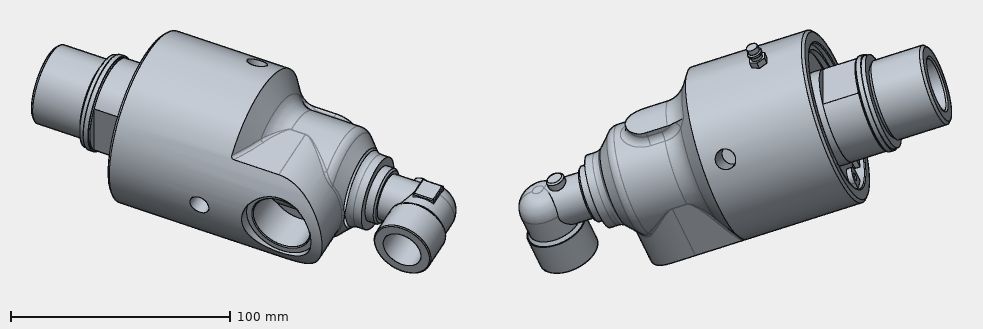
import cadquery as cq
import math


TOTAL_LENGTH = 205.74
THREAD_END = 25.0
COLLAR_START = 26.5
BEAD_START = 28.5
BEAD_END = 30.9
FLATS_START = 31.6
BODY_START = 49.1
BODY_END = 107.1
SHOULDER_START = 150.5
REAR_COLLAR_END = 166.0
NUT_END = 171.0

THREAD_RADIUS = 38.05 / 2
THREAD_CHAMFER = 1.25
SHAFT_RADIUS = 44.65 / 2
FLATTED_RADIUS = 44.4 / 2
BEAD_RADIUS = 46.0 / 2
ACROSS_FLATS = 35.6
SHAFT_BORE_RADIUS = 25.0 / 2
SHAFT_BORE_DEPTH = 50.0
SHAFT_BORE_CHAMFER = 0.8

BODY_RADIUS = 82.6 / 2
BODY_CHAMFER = 1.25
NECK_RADIUS = 26.5
CONE_ANGLE = 53.5
CONE_FOOT_FILLET = 12.0
SHOULDER_FILLET = 6.0
REAR_COLLAR_RADIUS = 34.9 / 2
NUT_RADIUS = 26.8 / 2
NUT_CHAMFER = 0.9

RECESS_RADIUS = 34.9
RECESS_DEPTH = 6.0
RECESS_CHAMFER = 0.5
RING_SETBACK = 2.5
RING_THICKNESS = 2.5
RING_INNER_RADIUS = 33.6
RING_ECCENTRICITY = 1.6
EAR_RADIUS = 4.6
EAR_Y = -28.65
EAR_Z = 9.7
EAR_HOLE_DIAMETER = 3.5

ARM_CENTRE_X = 131.2
ARM_HALF_WIDTH = 26.3
ARM_ROOT_FILLET = 2.0
PORT_X = 134.4
PORT_DIAMETER = 28.57
PORT_RIM_DIAMETER = 34.9
PORT_RIM_FLOOR = 36.0
PORT_CHAMFER = 0.5
TUBE_RADIUS = 38.05 / 2
TUBE_BARED_WIDTH = 18.25
REAR_BOSS_RADIUS = 9.5
REAR_BOSS_TOP = 31.2
REAR_BOSS_ROOT_FILLET = 4.2

RADIAL_HOLE_X = 95.7
RADIAL_HOLE_DIAMETER = 9.5
RADIAL_HOLE_DEPTH = 17.0
RADIAL_HOLE_COUNT = 3
OVERALL_WIDTH = 92.01
NIPPLE_X = 70.9
NIPPLE_TIP = OVERALL_WIDTH - BODY_RADIUS
NIPPLE_SEAT_DEPTH = 0.5
NIPPLE_HEX_FLATS = 7.4
NIPPLE_HEX_TOP = 44.3
NIPPLE_NECK_RADIUS = 5.36 / 2
NIPPLE_RIM_RADIUS = 6.8 / 2
NIPPLE_RIM_START = 45.9
NIPPLE_RIM_END = 48.1
NIPPLE_RIM_SLOPE = 0.6

SOCKET_RADIUS = 28.57 / 2
ELBOW_X = TOTAL_LENGTH - SOCKET_RADIUS
PIPE_RADIUS = 22.0 / 2
LEG_RADIUS = 25.0 / 2
LEG_BOTTOM = -9.8
BEND_FILLET = 9.8
SOCKET_TOP = -11.5
SOCKET_FACE = -27.9
SOCKET_CHAMFER = 0.5
SOCKET_BORE_DIAMETER = 19.0
ELBOW_BORE_DIAMETER = 11.0
ELBOW_BORE_END = 193.2
PLUG_X = 182.0
PLUG_DIAMETER = 8.6
PLUG_TOP = 14.4
PLUG_CHAMFER = 0.8
PAD_SIZE = 10.5
PAD_TOP = 13.5
PAD_CHAMFER = 0.5

FLARE_RADIUS = 62.0
BAR_REACH = 50.0
BAR_START = 93.0

SELECT_MARGIN = 0.5


def turned(profile):
    """Revolve an (x, radius) outline about the rotation axis."""
    return cq.Workplane("XY").polyline(profile).close().revolve(360, (0, 0, 0), (1, 0, 0))


def turned_on_y(profile, x):
    """Revolve a (radius, y) outline about the Y direction at the given x."""
    outline = cq.Workplane("XY").polyline([(x + radius, y) for radius, y in profile])
    return outline.close().revolve(360, (x, 0, 0), (x, 1, 0))


def cylinder_x(radius, start, end):
    return cq.Workplane("YZ", origin=(start, 0, 0)).circle(radius).extrude(end - start)


def cylinder_y(radius, x, start, end):
    """Cylinder along Y between two Y stations."""
    return cq.Workplane("XZ", origin=(x, start, 0)).circle(radius).extrude(start - end)


def rounded_corner(before, corner, after, radius):
    """Start, middle and end of the arc that rounds the corner of an (x, radius) outline."""
    to_before = (cq.Vector(*before) - cq.Vector(*corner)).normalized()
    to_after = (cq.Vector(*after) - cq.Vector(*corner)).normalized()
    half_angle = to_before.getAngle(to_after) / 2
    tangent_length = radius / math.tan(half_angle)
    middle_distance = radius / math.sin(half_angle) - radius
    vertex = cq.Vector(*corner)
    start = vertex + to_before * tangent_length
    middle = vertex + (to_before + to_after).normalized() * middle_distance
    end = vertex + to_after * tangent_length
    return [(point.x, point.y) for point in (start, middle, end)]


def make_shaft():
    thread_drop = COLLAR_START - THREAD_END
    shaft = turned([
        (0, 0),
        (0, THREAD_RADIUS - THREAD_CHAMFER),
        (THREAD_CHAMFER, THREAD_RADIUS),
        (THREAD_END, THREAD_RADIUS),
        (COLLAR_START, THREAD_RADIUS - thread_drop),
        (COLLAR_START, SHAFT_RADIUS),
        (BEAD_START, SHAFT_RADIUS),
        (BEAD_START, BEAD_RADIUS),
        (BEAD_END, BEAD_RADIUS),
        (BEAD_END, SHAFT_RADIUS),
        (FLATS_START, SHAFT_RADIUS),
        (FLATS_START, FLATTED_RADIUS),
        (BODY_START, FLATTED_RADIUS),
        (BODY_START, SHAFT_RADIUS),
        (BODY_START + RECESS_DEPTH, SHAFT_RADIUS),
        (BODY_START + RECESS_DEPTH, 0),
    ])
    cutter_depth = SHAFT_RADIUS
    flat_length = BODY_START - FLATS_START
    for side in (-1, 1):
        cutter = cq.Workplane("XY")
        cutter = cutter.box(flat_length, cutter_depth, 2 * SHAFT_RADIUS, centered=(False, True, True))
        shaft = shaft.cut(cutter.translate((FLATS_START, side * (ACROSS_FLATS + cutter_depth) / 2, 0)))
    return shaft


def cut_shaft_bore(part):
    mouth_radius = SHAFT_BORE_RADIUS + SHAFT_BORE_CHAMFER
    bore = turned([
        (0, 0),
        (0, mouth_radius),
        (SHAFT_BORE_CHAMFER, SHAFT_BORE_RADIUS),
        (SHAFT_BORE_DEPTH, SHAFT_BORE_RADIUS),
        (SHAFT_BORE_DEPTH, 0),
    ])
    return part.cut(bore)


def cone_point(radius):
    """Point of the rear cone, which starts at the end of the body, at the given radius."""
    return (BODY_END + (BODY_RADIUS - radius) / math.tan(math.radians(CONE_ANGLE)), radius)


def turned_with_arcs(start, arcs, end):
    """Revolve the outline that runs from start over the given arcs to end."""
    profile = cq.Workplane("XY").moveTo(start[0], 0).lineTo(*start)
    for arc_start, arc_middle, arc_end in arcs:
        profile = profile.lineTo(*arc_start).threePointArc(arc_middle, arc_end)
    profile = profile.lineTo(*end).lineTo(end[0], 0).close()
    return profile.revolve(360, (0, 0, 0), (1, 0, 0)).rotate((0, 0, 0), (1, 0, 0), 180)


def make_neck():
    """Stepped neck whose front cone flares out past the body radius."""
    flare = cone_point(FLARE_RADIUS)
    cone_foot = cone_point(NECK_RADIUS)
    shoulder_top = (SHOULDER_START, NECK_RADIUS)
    shoulder_foot = (SHOULDER_START + NECK_RADIUS - REAR_COLLAR_RADIUS, REAR_COLLAR_RADIUS)
    collar_end = (REAR_COLLAR_END, REAR_COLLAR_RADIUS)
    arcs = [
        rounded_corner(flare, cone_foot, shoulder_top, CONE_FOOT_FILLET),
        rounded_corner(cone_foot, shoulder_top, shoulder_foot, SHOULDER_FILLET),
        rounded_corner(shoulder_top, shoulder_foot, collar_end, SHOULDER_FILLET),
    ]
    return turned_with_arcs(flare, arcs, collar_end)


def round_ended_bar(half_width, y_start, y_end):
    """Bar along X with a round end centred on ARM_CENTRE_X."""
    return (
        cq.Workplane("XZ", origin=(0, y_end, 0))
        .moveTo(BAR_START, -half_width)
        .lineTo(ARM_CENTRE_X, -half_width)
        .threePointArc((ARM_CENTRE_X + half_width, 0), (ARM_CENTRE_X, half_width))
        .lineTo(BAR_START, half_width)
        .close()
        .extrude(y_end - y_start)
    )


def add_bar(neck, half_width, side, root_fillet):
    """Join a long round-ended bar on the +Y (side = 1) or -Y (side = -1) half and round its root."""
    y_start, y_end = sorted((0, side * BAR_REACH))
    joined = neck.union(round_ended_bar(half_width, y_start, y_end))
    root_start, root_end = sorted((0, side * (BAR_REACH - SELECT_MARGIN)))
    root_zone = cq.selectors.BoxSelector(
        (BAR_START, root_start, -half_width - SELECT_MARGIN),
        (ARM_CENTRE_X + half_width + SELECT_MARGIN, root_end, half_width + SELECT_MARGIN),
    )
    return joined.edges(root_zone).edges("not |Y").fillet(root_fillet)


def add_rear_boss(neck):
    """Join the closed boss, whose turned top blends into the cone."""
    flare = cone_point(FLARE_RADIUS)
    top_end = (REAR_COLLAR_END, REAR_BOSS_TOP)
    top_arc = rounded_corner(flare, cone_point(REAR_BOSS_TOP), top_end, CONE_FOOT_FILLET)
    envelope = turned_with_arcs(flare, [top_arc], top_end)
    return add_bar(neck, REAR_BOSS_RADIUS, 1, REAR_BOSS_ROOT_FILLET).intersect(envelope)


def add_port_arm(neck):
    return add_bar(neck, ARM_HALF_WIDTH, -1, ARM_ROOT_FILLET)


def make_housing():
    body = cylinder_x(BODY_RADIUS, BODY_START, BODY_END).faces("<X").chamfer(BODY_CHAMFER)
    neck = add_port_arm(add_rear_boss(make_neck()))
    neck = neck.intersect(cylinder_x(BODY_RADIUS, BODY_END, REAR_COLLAR_END))
    nut = cylinder_x(NUT_RADIUS, REAR_COLLAR_END, NUT_END).faces(">X").chamfer(NUT_CHAMFER)
    return body.union(neck).union(nut)


def cut_port(part):
    """Counterbored side port whose floor lets the inner tube stand slightly proud."""
    floor = -math.sqrt(TUBE_RADIUS**2 - (TUBE_BARED_WIDTH / 2) ** 2)
    port = cylinder_y(PORT_DIAMETER / 2, PORT_X, floor, -PORT_RIM_FLOOR)
    mouth = turned_on_y([
        (0, PORT_CHAMFER - PORT_RIM_FLOOR),
        (PORT_DIAMETER / 2, PORT_CHAMFER - PORT_RIM_FLOOR),
        (PORT_DIAMETER / 2 + PORT_CHAMFER, -PORT_RIM_FLOOR),
        (0, -PORT_RIM_FLOOR),
    ], PORT_X)
    rim = cylinder_y(PORT_RIM_DIAMETER / 2, PORT_X, -PORT_RIM_FLOOR, -BODY_RADIUS)
    tube = cylinder_x(TUBE_RADIUS, PORT_X - PORT_DIAMETER / 2, PORT_X + PORT_DIAMETER / 2)
    return part.cut(port.cut(tube)).cut(mouth).cut(rim)


def cut_front_recess(housing):
    recess = turned([
        (BODY_START, 0),
        (BODY_START, RECESS_RADIUS + RECESS_CHAMFER),
        (BODY_START + RECESS_CHAMFER, RECESS_RADIUS),
        (BODY_START + RECESS_DEPTH, RECESS_RADIUS),
        (BODY_START + RECESS_DEPTH, 0),
    ])
    return housing.cut(recess)


def make_retaining_ring():
    """Ring tapering towards two drilled ears on the -Y side."""
    ring_start = BODY_START + RING_SETBACK
    ring_end = ring_start + RING_THICKNESS
    disc = cylinder_x(RECESS_RADIUS, ring_start, ring_end)
    ring = disc.cut(cylinder_x(RING_INNER_RADIUS, ring_start, ring_end).translate((0, -RING_ECCENTRICITY, 0)))
    plane = cq.Workplane("YZ", origin=(ring_start, 0, 0))
    ear_reach = RECESS_RADIUS + EAR_Y
    for side in (-1, 1):
        tip = plane.center(EAR_Y, side * EAR_Z).circle(EAR_RADIUS).extrude(RING_THICKNESS)
        root = plane.center(EAR_Y - ear_reach / 2, side * EAR_Z)
        root = root.rect(ear_reach, 2 * EAR_RADIUS).extrude(RING_THICKNESS)
        hole = plane.center(EAR_Y, side * EAR_Z).circle(EAR_HOLE_DIAMETER / 2).extrude(RING_THICKNESS)
        ring = ring.union(tip.union(root).intersect(disc)).cut(hole)
    return ring


def cut_radial_holes(part):
    hole = cylinder_y(RADIAL_HOLE_DIAMETER / 2, RADIAL_HOLE_X, RADIAL_HOLE_DEPTH - BODY_RADIUS, -BODY_RADIUS)
    for index in range(RADIAL_HOLE_COUNT):
        part = part.cut(hole.rotate((0, 0, 0), (1, 0, 0), index * 360 / RADIAL_HOLE_COUNT))
    return part


def make_grease_nipple():
    base = BODY_RADIUS - NIPPLE_SEAT_DEPTH
    hexagon = cq.Workplane("XZ", origin=(NIPPLE_X, NIPPLE_HEX_TOP, 0))
    hexagon = hexagon.polygon(6, NIPPLE_HEX_FLATS, circumscribed=True).extrude(NIPPLE_HEX_TOP - base)
    stem = turned_on_y([
        (0, base),
        (NIPPLE_NECK_RADIUS, base),
        (NIPPLE_NECK_RADIUS, NIPPLE_RIM_START),
        (NIPPLE_RIM_RADIUS, NIPPLE_RIM_START + NIPPLE_RIM_SLOPE),
        (NIPPLE_RIM_RADIUS, NIPPLE_RIM_END - NIPPLE_RIM_SLOPE),
        (NIPPLE_NECK_RADIUS, NIPPLE_RIM_END),
        (NIPPLE_NECK_RADIUS, NIPPLE_TIP),
        (0, NIPPLE_TIP),
    ], NIPPLE_X)
    return hexagon.union(stem)


def make_elbow():
    pipe = cylinder_x(PIPE_RADIUS, NUT_END, ELBOW_X)
    leg = cylinder_y(LEG_RADIUS, ELBOW_X, PIPE_RADIUS, LEG_BOTTOM).faces(">Y").edges().fillet(BEND_FILLET)
    socket_lip = SOCKET_RADIUS - SOCKET_CHAMFER
    socket = turned_on_y([
        (0, LEG_BOTTOM),
        (LEG_RADIUS, LEG_BOTTOM),
        (socket_lip, SOCKET_TOP),
        (SOCKET_RADIUS, SOCKET_TOP),
        (SOCKET_RADIUS, SOCKET_FACE + SOCKET_CHAMFER),
        (socket_lip, SOCKET_FACE),
        (0, SOCKET_FACE),
    ], ELBOW_X)
    plug = cylinder_y(PLUG_DIAMETER / 2, PLUG_X, PLUG_TOP, 0).faces(">Y").chamfer(PLUG_CHAMFER)
    pad = cq.Workplane("XY", origin=(ELBOW_X, 0, 0)).rect(PAD_SIZE, PAD_SIZE).extrude(PAD_TOP)
    pad = pad.faces(">Z").chamfer(PAD_CHAMFER)
    elbow = pipe.union(leg).union(socket).union(plug).union(pad)
    socket_bore = cylinder_y(SOCKET_BORE_DIAMETER / 2, ELBOW_X, 0, SOCKET_FACE)
    elbow_bore = cylinder_x(ELBOW_BORE_DIAMETER / 2, NUT_END, ELBOW_BORE_END)
    return elbow.cut(socket_bore).cut(elbow_bore)


housing = cut_front_recess(cut_radial_holes(cut_port(make_housing())))
result = housing.union(make_retaining_ring()).union(make_shaft())
result = cut_shaft_bore(result).union(make_grease_nipple()).union(make_elbow())